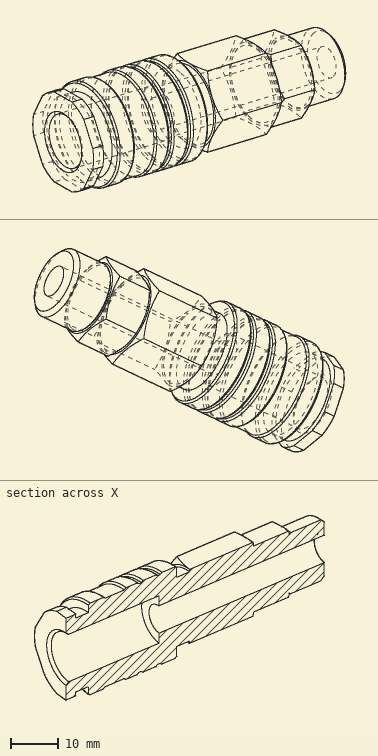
import cadquery as cq
import math


FLANGE_BACK = 2.6
SLEEVE_FRONT = 5.9
SLEEVE_BACK = 29.6
BODY_HEX_FRONT = 33.0
NUT_FRONT = 50.1
SPIGOT_START = 59.6
TOTAL_LENGTH = 69.0

FLANGE_RADIUS = 11.0
FLANGE_ACROSS_FLATS = 21.0
FRONT_NECK_RADIUS = 9.5

SLEEVE_RADIUS = 11.4
RING_RADIUS = 11.765
RING_BEVEL_LENGTH = 0.5
GRIP_RINGS = [
    (SLEEVE_FRONT, 10.4),
    (15.5, 19.45),
    (20.1, 24.5),
    (25.1, SLEEVE_BACK),
]

REAR_NECK_RADIUS = 8.9
BODY_HEX_ACROSS_FLATS = 19.0
NUT_ACROSS_FLATS = 17.0
HEX_FRONT_BEVEL_ANGLE = 30.0
HEX_BACK_BEVEL_ANGLE = 25.0
HEX_BACK_FACE_RATIO = 0.96

SPIGOT_RADIUS = 7.9
SPIGOT_END_CHAMFER = 1.0
SPIGOT_ROOT_CHAMFER = 0.35

BORE_RADIUS = 3.45
SOCKET_RADIUS = 6.0
SOCKET_DEPTH = 24.85
SOCKET_CHAMFER = 0.7


def cross_plane(start):
    """Sketch plane across the axis; its normal is -Y, so negative extrusions go towards +Y."""
    return cq.Workplane("XZ", origin=(0, start, 0))


def cylinder(radius, start, end):
    return cross_plane(start).circle(radius).extrude(start - end)


def hexagon_corner_radius(across_flats):
    return across_flats / 2 / math.cos(math.radians(30))


def hexagon(across_flats, start, end):
    """Hexagonal prism with two corners on the X axis."""
    return cross_plane(start).polygon(6, 2 * hexagon_corner_radius(across_flats)).extrude(start - end)


def revolve_profile(points):
    """Revolve a closed (radius, station) outline about the Y axis."""
    return cq.Workplane("XY").polyline(points).close().revolve(360, (0, 0), (0, 1))


def grip_ring(front, back):
    """Disc standing proud of the sleeve, bevelled down to it at both ends."""
    return revolve_profile([
        (0, front),
        (SLEEVE_RADIUS, front),
        (RING_RADIUS, front + RING_BEVEL_LENGTH),
        (RING_RADIUS, back - RING_BEVEL_LENGTH),
        (SLEEVE_RADIUS, back),
        (0, back),
    ])


def bevelled_hexagon(across_flats, front, back):
    """Hexagonal prism with its corners turned off by a cone at both ends."""
    front_face_radius = across_flats / 2
    back_face_radius = front_face_radius * HEX_BACK_FACE_RATIO
    corner_radius = hexagon_corner_radius(across_flats)
    front_bevel_width = corner_radius - front_face_radius
    back_bevel_width = corner_radius - back_face_radius
    front_bevel_length = front_bevel_width * math.tan(math.radians(HEX_FRONT_BEVEL_ANGLE))
    back_bevel_length = back_bevel_width * math.tan(math.radians(HEX_BACK_BEVEL_ANGLE))
    turned_blank = revolve_profile([
        (0, front),
        (front_face_radius, front),
        (corner_radius, front + front_bevel_length),
        (corner_radius, back - back_bevel_length),
        (back_face_radius, back),
        (0, back),
    ])
    return hexagon(across_flats, front, back).intersect(turned_blank)


def flange():
    """Round flange with six wrench flats."""
    disc = cylinder(FLANGE_RADIUS, 0, FLANGE_BACK)
    return disc.intersect(hexagon(FLANGE_ACROSS_FLATS, 0, FLANGE_BACK))


def sleeve():
    body = cylinder(SLEEVE_RADIUS, SLEEVE_FRONT, SLEEVE_BACK)
    for front, back in GRIP_RINGS:
        body = body.union(grip_ring(front, back))
    return body


def spigot():
    return revolve_profile([
        (0, SPIGOT_START),
        (SPIGOT_RADIUS - SPIGOT_ROOT_CHAMFER, SPIGOT_START),
        (SPIGOT_RADIUS, SPIGOT_START + SPIGOT_ROOT_CHAMFER),
        (SPIGOT_RADIUS, TOTAL_LENGTH - SPIGOT_END_CHAMFER),
        (SPIGOT_RADIUS - SPIGOT_END_CHAMFER, TOTAL_LENGTH),
        (0, TOTAL_LENGTH),
    ])


def bores():
    """Chamfered plug socket at the front, opening into the through bore."""
    return revolve_profile([
        (0, 0),
        (SOCKET_RADIUS + SOCKET_CHAMFER, 0),
        (SOCKET_RADIUS, SOCKET_CHAMFER),
        (SOCKET_RADIUS, SOCKET_DEPTH),
        (BORE_RADIUS, SOCKET_DEPTH),
        (BORE_RADIUS, TOTAL_LENGTH),
        (0, TOTAL_LENGTH),
    ])


result = (
    flange()
    .union(cylinder(FRONT_NECK_RADIUS, FLANGE_BACK, SLEEVE_FRONT))
    .union(sleeve())
    .union(cylinder(REAR_NECK_RADIUS, SLEEVE_BACK, BODY_HEX_FRONT))
    .union(bevelled_hexagon(BODY_HEX_ACROSS_FLATS, BODY_HEX_FRONT, NUT_FRONT))
    .union(bevelled_hexagon(NUT_ACROSS_FLATS, NUT_FRONT, SPIGOT_START))
    .union(spigot())
    .cut(bores())
)